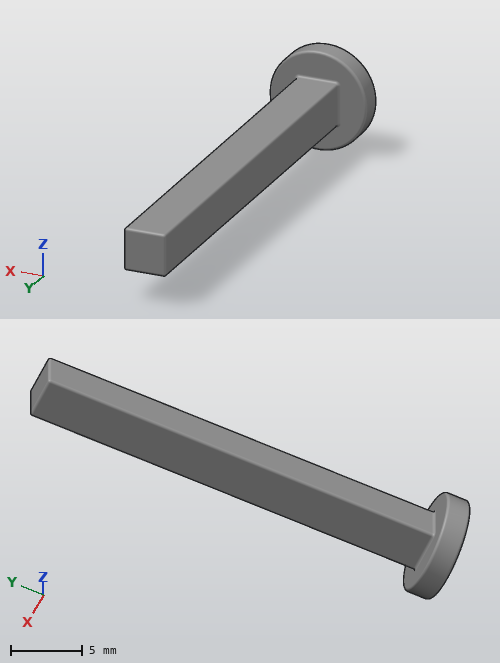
import cadquery as cq

total_length = 31.8
head_diameter = 7.5
head_thickness = 1.78
shank_width = 3.2
edge_radius = 0.2
root_radius = 0.2

head_back = -total_length / 2 + head_thickness
shank_length = total_length - head_thickness


def make_head():
    """Round disc with both rims rounded."""
    disc = cq.Workplane("XZ", origin=(0, head_back, 0)).circle(head_diameter / 2).extrude(head_thickness)
    return disc.edges().fillet(edge_radius)


def make_shank():
    """Square bar with rounded long edges and a rounded free end."""
    bar = cq.Workplane("XZ", origin=(0, head_back, 0)).rect(shank_width, shank_width).extrude(-shank_length)
    return bar.edges("|Y or >Y").fillet(edge_radius)


def fillet_root(body):
    """Blend the shank into the back face of the head."""
    half_box = shank_width / 2 + edge_radius
    margin = edge_radius / 2
    root_edges = cq.selectors.BoxSelector(
        (-half_box, head_back - margin, -half_box),
        (half_box, head_back + margin, half_box),
    )
    return body.edges(root_edges).fillet(root_radius)


result = fillet_root(make_head().union(make_shank()))